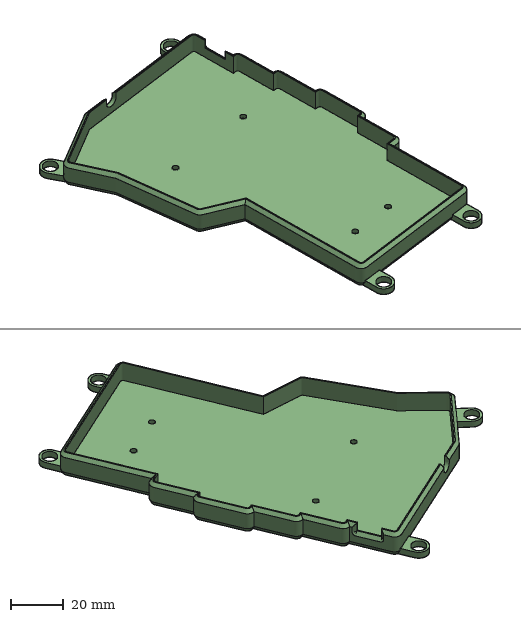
import cadquery as cq
import math

BODY_LENGTH = 139.7
BODY_WIDTH = 63.0
BODY_HEIGHT = 10.5
CORNER_RADIUS = 3.0
WALL_THICKNESS = 1.9
FLOOR_THICKNESS = 2.0
TOP_CHAMFER = 1.5
BASE_TAPER_HEIGHT = 1.9
BASE_TAPER_WIDTH = 1.0

LEFT = CORNER_RADIUS
RIGHT = BODY_LENGTH - CORNER_RADIUS
FRONT = CORNER_RADIUS
BACK = BODY_WIDTH - CORNER_RADIUS
STEP_RISE = 2.4
STEPS_UP_X = (23.1, 41.3, 60.5)
PEAK_END_X = 79.3
STEP_DOWN_X = 98.4
LOBE_OUTLINE = (
    (79.0, FRONT),
    (69.7, -13.5),
    (32.7, -17.7),
    (15.0, -25.0),
    (LEFT, 0.8),
)

EAR_RADIUS = 4.1
EAR_HOLE_DIAMETER = 6.0
EAR_THICKNESS = 2.9
EAR_REACH = 5.7
EAR_INSET = 6.0
EAR_ROOT_LENGTH = EAR_REACH + CORNER_RADIUS
EARS = (
    ((-EAR_REACH, BODY_WIDTH - EAR_INSET), 0),
    ((BODY_LENGTH + EAR_REACH, BODY_WIDTH - EAR_INSET), 180),
    ((BODY_LENGTH + EAR_REACH, EAR_INSET), 180),
    ((5.3, -26.2), 25),
)

SCREW_HOLE_DIAMETER = 2.5
SCREW_HOLE_CENTERS = ((41.3, 44.5), (41.3, 5.1), (117.4, 41.0), (117.4, 21.8))

CABLE_NOTCH_WIDTH = 5.5
CABLE_NOTCH_Y = 13.2
CABLE_NOTCH_BOTTOM = 5.5

LOW_WALL_START = 7.7
LOW_WALL_LENGTH = 10.0
LOW_WALL_HEIGHT = 6.7

CUT_MARGIN = 0.8


def grown_outline(distance, height=0):
    """Board outline grown by a distance, with round outer corners, at a height."""
    points = []
    level = BACK
    for x in STEPS_UP_X:
        points += [(x, level), (x, level + STEP_RISE)]
        level += STEP_RISE
    points += [(PEAK_END_X, level), (PEAK_END_X, level - STEP_RISE)]
    points += [(STEP_DOWN_X, level - STEP_RISE), (STEP_DOWN_X, BACK)]
    points += [(RIGHT, BACK), (RIGHT, FRONT), *LOBE_OUTLINE, (LEFT, BACK)]
    outline = cq.Workplane("XY").workplane(offset=height).polyline(points).close()
    return outline.offset2D(distance)


def solid_body():
    taper = math.degrees(math.atan(BASE_TAPER_WIDTH / BASE_TAPER_HEIGHT))
    base = grown_outline(CORNER_RADIUS - BASE_TAPER_WIDTH).extrude(BASE_TAPER_HEIGHT, taper=-taper)
    upper = grown_outline(CORNER_RADIUS, BASE_TAPER_HEIGHT).extrude(BODY_HEIGHT - BASE_TAPER_HEIGHT)
    return base.union(upper.faces(">Z").chamfer(TOP_CHAMFER))


def ear(center, angle):
    pad = cq.Workplane("XY").circle(EAR_RADIUS).extrude(EAR_THICKNESS)
    root = cq.Workplane("XY").box(
        EAR_ROOT_LENGTH, 2 * EAR_RADIUS, EAR_THICKNESS, centered=(False, True, False)
    )
    return pad.union(root).rotate((0, 0, 0), (0, 0, 1), angle).translate((*center, 0))


def cavity():
    depth = BODY_HEIGHT - FLOOR_THICKNESS
    return grown_outline(CORNER_RADIUS - WALL_THICKNESS, FLOOR_THICKNESS).extrude(depth)


def through_holes(centers, diameter):
    return cq.Workplane("XY").pushPoints(centers).circle(diameter / 2).extrude(BODY_HEIGHT)


def cable_notch():
    radius = CABLE_NOTCH_WIDTH / 2
    low = CABLE_NOTCH_BOTTOM + radius
    high = BODY_HEIGHT + CUT_MARGIN
    left = CABLE_NOTCH_Y - radius
    right = CABLE_NOTCH_Y + radius
    profile = (
        cq.Workplane("YZ", origin=(-CUT_MARGIN, 0, 0))
        .moveTo(left, high)
        .lineTo(left, low)
        .threePointArc((CABLE_NOTCH_Y, CABLE_NOTCH_BOTTOM), (right, low))
        .lineTo(right, high)
        .close()
    )
    return profile.extrude(WALL_THICKNESS + 2 * CUT_MARGIN)


def low_wall_opening():
    """Cutter that carries the rim chamfer down the ends and along the bottom of the opening."""
    chamfer_start_y = BODY_WIDTH - TOP_CHAMFER
    inside_depth = WALL_THICKNESS - TOP_CHAMFER + CUT_MARGIN
    corner = (LOW_WALL_START, chamfer_start_y, LOW_WALL_HEIGHT)

    def profile():
        return cq.Workplane("XZ", origin=corner).rect(LOW_WALL_LENGTH, BODY_HEIGHT, centered=False)

    flare = profile().extrude(-(TOP_CHAMFER + CUT_MARGIN), taper=-45)
    return profile().extrude(inside_depth).union(flare)


result = solid_body()
for ear_center, ear_angle in EARS:
    result = result.union(ear(ear_center, ear_angle))
result = (
    result.cut(cavity())
    .cut(through_holes([center for center, _ in EARS], EAR_HOLE_DIAMETER))
    .cut(through_holes(SCREW_HOLE_CENTERS, SCREW_HOLE_DIAMETER))
    .cut(cable_notch())
    .cut(low_wall_opening())
)